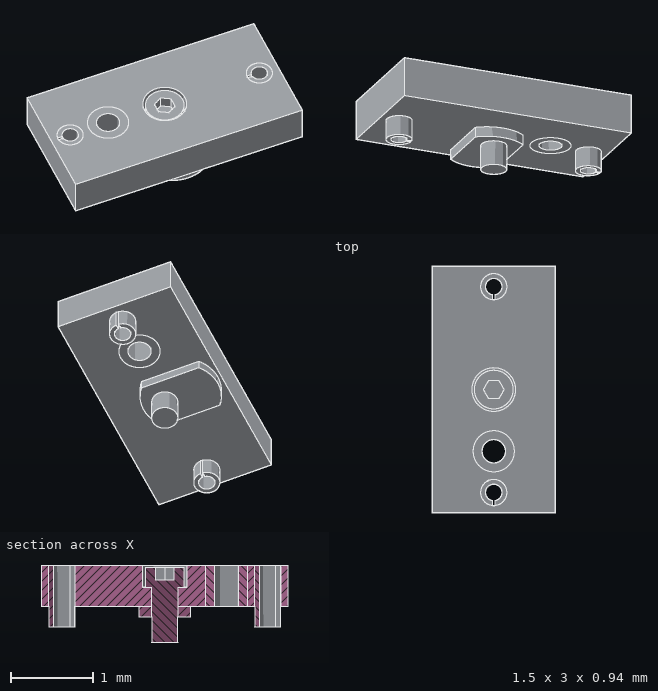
import cadquery as cq
import math

PLATE_WIDTH = 1.5
PLATE_LENGTH = 3.0
PLATE_THICKNESS = 0.5

PIN_DIAMETER = 0.318
PIN_BORE = 0.198
PIN_SLOT = 0.03
PIN_PROJECTION = 0.25
PIN_END_DISTANCE = 0.25
PIN_Y = PLATE_LENGTH / 2 - PIN_END_DISTANCE
PIN_OFFSETS = (-PIN_Y, PIN_Y)

BUSHING_DIAMETER = 0.5
BUSHING_BORE = 0.282
BUSHING_Y = -0.75

CAM_RADIUS = 0.495
CAM_CENTER_X = 0.213
CAM_WIDTH = 0.63
CAM_THICKNESS = 0.125

HEAD_DIAMETER = 0.47
HEAD_HEIGHT = 0.24
HEAD_RECESS = 0.025
COUNTERBORE_DIAMETER = 0.53
SHANK_DIAMETER = 0.318
SHANK_BOTTOM = -0.438
SOCKET_ACROSS_FLATS = 0.22
SOCKET_DEPTH = 0.15

HEAD_TOP = PLATE_THICKNESS - HEAD_RECESS
HEAD_SEAT = HEAD_TOP - HEAD_HEIGHT


def cylinder(diameter, bottom, top, y=0.0):
    """Upright cylinder on the plate's centre line."""
    return cq.Workplane("XY", origin=(0, y, bottom)).circle(diameter / 2).extrude(top - bottom)


def make_plate():
    plate = cq.Workplane("XY").box(
        PLATE_WIDTH, PLATE_LENGTH, PLATE_THICKNESS, centered=(True, True, False)
    )
    for y in PIN_OFFSETS:
        plate = plate.cut(cylinder(PIN_DIAMETER, 0, PLATE_THICKNESS, y))
    plate = plate.cut(cylinder(BUSHING_DIAMETER, 0, PLATE_THICKNESS, BUSHING_Y))
    plate = plate.cut(cylinder(COUNTERBORE_DIAMETER, HEAD_SEAT, PLATE_THICKNESS))
    return plate.cut(cylinder(SHANK_DIAMETER, 0, HEAD_SEAT))


def make_spring_pin(y):
    pin = cylinder(PIN_DIAMETER, -PIN_PROJECTION, PLATE_THICKNESS, y)
    pin = pin.cut(cylinder(PIN_BORE, -PIN_PROJECTION, PLATE_THICKNESS, y))
    slot = cq.Workplane("XY", origin=(0, y - PIN_DIAMETER / 2, -PIN_PROJECTION)).box(
        PIN_SLOT, PIN_DIAMETER, PIN_PROJECTION + PLATE_THICKNESS, centered=(True, True, False)
    )
    return pin.cut(slot)


def make_bushing():
    bushing = cylinder(BUSHING_DIAMETER, 0, PLATE_THICKNESS, BUSHING_Y)
    return bushing.cut(cylinder(BUSHING_BORE, 0, PLATE_THICKNESS, BUSHING_Y))


def make_cam():
    disc = cq.Workplane("XY", origin=(CAM_CENTER_X, 0, -CAM_THICKNESS))
    flats = disc.rect(2 * CAM_RADIUS, CAM_WIDTH).extrude(CAM_THICKNESS)
    cam = disc.circle(CAM_RADIUS).extrude(CAM_THICKNESS).intersect(flats)
    return cam.cut(cylinder(SHANK_DIAMETER, -CAM_THICKNESS, 0))


def make_screw():
    head = cylinder(HEAD_DIAMETER, HEAD_SEAT, HEAD_TOP)
    socket_across_corners = SOCKET_ACROSS_FLATS / math.cos(math.pi / 6)
    socket = (
        cq.Workplane("XY", origin=(0, 0, HEAD_TOP))
        .polygon(6, socket_across_corners)
        .extrude(-SOCKET_DEPTH)
    )
    shank = cylinder(SHANK_DIAMETER, SHANK_BOTTOM, HEAD_SEAT)
    return head.cut(socket).union(shank)


plate = make_plate()
spring_pins = [make_spring_pin(y) for y in PIN_OFFSETS]
bushing = make_bushing()
cam = make_cam()
screw = make_screw()

result = cq.Compound.makeCompound(
    [
        plate.val(),
        *[pin.val() for pin in spring_pins],
        bushing.val(),
        cam.val(),
        screw.val(),
    ]
)